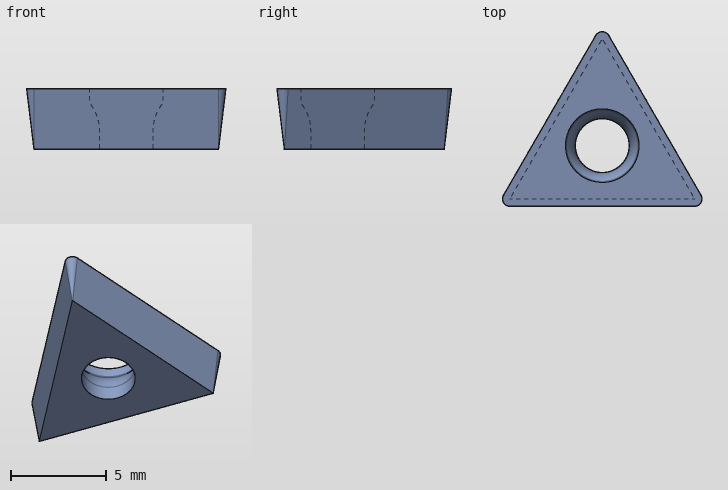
import cadquery as cq
import math

overall_width = 10.42
thickness = 3.17
nose_radius = 0.4
bottom_nose_radius = 0.01
bore_diameter = 2.8
mouth_diameter = 3.85
mouth_depth = 0.66
blend_radius = 0.25
seat_radius = 2.24

nose_center_spacing = overall_width - 2 * nose_radius
inscribed_radius = nose_center_spacing / (2 * math.sqrt(3)) + nose_radius
flank_inset = nose_radius - bottom_nose_radius
relief_angle = math.degrees(math.atan(flank_inset / thickness))


def make_body():
    """Triangle with rounded corners, narrowing downward from the top face."""
    corner_distance = 2 * inscribed_radius
    corners = [
        (corner_distance * math.cos(math.radians(a)), corner_distance * math.sin(math.radians(a)))
        for a in (90, 210, 330)
    ]
    outline = cq.Sketch().polygon(corners + corners[:1]).vertices().fillet(nose_radius)
    return cq.Workplane("XY").placeSketch(outline).extrude(-thickness, taper=relief_angle)


def make_screw_hole():
    """Revolved hole: straight mouth, concave blend, convex seat and through bore, all tangent."""
    bore_radius = bore_diameter / 2
    mouth_radius = mouth_diameter / 2
    blend_center_x = mouth_radius - blend_radius
    seat_center_x = bore_radius + seat_radius
    arc_span = math.acos((seat_center_x - blend_center_x) / (blend_radius + seat_radius))
    seat_bottom = -mouth_depth - (blend_radius + seat_radius) * math.sin(arc_span)

    def blend_point(angle):
        return (
            blend_center_x + blend_radius * math.cos(angle),
            -mouth_depth - blend_radius * math.sin(angle),
        )

    def seat_point(angle):
        return (
            seat_center_x - seat_radius * math.cos(angle),
            seat_bottom + seat_radius * math.sin(angle),
        )

    return (
        cq.Workplane("XZ")
        .lineTo(mouth_radius, 0)
        .lineTo(mouth_radius, -mouth_depth)
        .threePointArc(blend_point(arc_span / 2), blend_point(arc_span))
        .threePointArc(seat_point(arc_span / 2), seat_point(0))
        .lineTo(bore_radius, -thickness)
        .lineTo(0, -thickness)
        .close()
        .revolve(360, (0, 0, 0), (0, 1, 0))
    )


result = make_body().cut(make_screw_hole())